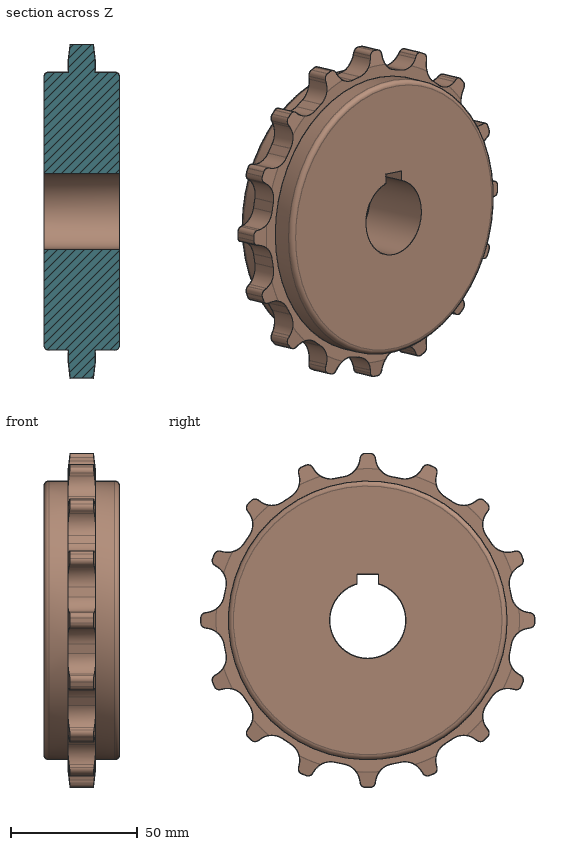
import cadquery as cq
import math

HUB_WIDTH = 30.0
HUB_DIAMETER = 110.2
HUB_EDGE_RADIUS = 2.0
BORE_DIAMETER = 30.0
KEYWAY_WIDTH = 8.5
KEYWAY_TOP = 18.2

TOOTH_COUNT = 16
TIP_RADIUS = 66.0
RIM_WIDTH = 10.7
TIP_WIDTH = 9.2
BEVEL_START_RADIUS = 60.0
TIP_CORNER_RADIUS = 2.1

ROOT_HEIGHT = 57.6
ROOT_HALF_LENGTH = 2.0
SEAT_RADIUS = 7.7
FLANK_ANGLE = 10.0
CUT_MARGIN = 2.6

TOOTH_PITCH = 360.0 / TOOTH_COUNT


def seat_point(angle):
    """Point on the right-hand seat, at an angle in degrees from the seat's lowest point."""
    turn = math.radians(angle)
    return (
        ROOT_HALF_LENGTH + SEAT_RADIUS * math.sin(turn),
        ROOT_HEIGHT + SEAT_RADIUS * (1 - math.cos(turn)),
    )


def mirrored(point):
    return (-point[0], point[1])


def make_hub():
    hub = cq.Workplane("YZ").circle(HUB_DIAMETER / 2).extrude(HUB_WIDTH / 2, both=True)
    return hub.edges().fillet(HUB_EDGE_RADIUS)


def make_gap():
    """Cutter for the gap centred on +Z."""
    flank_slope = 90 - FLANK_ANGLE - TOOTH_PITCH / 2
    seat_middle = seat_point(flank_slope / 2)
    seat_end = seat_point(flank_slope)
    outer_height = TIP_RADIUS + CUT_MARGIN
    flank_run = (outer_height - seat_end[1]) / math.tan(math.radians(flank_slope))
    flank_end = (seat_end[0] + flank_run, outer_height)
    return (
        cq.Workplane("YZ")
        .moveTo(-ROOT_HALF_LENGTH, ROOT_HEIGHT)
        .lineTo(ROOT_HALF_LENGTH, ROOT_HEIGHT)
        .threePointArc(seat_middle, seat_end)
        .lineTo(*flank_end)
        .lineTo(*mirrored(flank_end))
        .lineTo(*mirrored(seat_end))
        .threePointArc(mirrored(seat_middle), (-ROOT_HALF_LENGTH, ROOT_HEIGHT))
        .close()
        .extrude(RIM_WIDTH, both=True)
    )


def make_bevelled_disc():
    """Disc as thick as the rim, thinning towards the tooth tips on both sides."""
    half_rim = RIM_WIDTH / 2
    half_tip = TIP_WIDTH / 2
    half_section = [
        (-half_rim, 0),
        (-half_rim, BEVEL_START_RADIUS),
        (-half_tip, TIP_RADIUS),
        (half_tip, TIP_RADIUS),
        (half_rim, BEVEL_START_RADIUS),
        (half_rim, 0),
    ]
    return cq.Workplane("XY").polyline(half_section).close().revolve(360, (0, 0, 0), (1, 0, 0))


def make_toothed_rim():
    rim = cq.Workplane("YZ").circle(TIP_RADIUS).extrude(RIM_WIDTH / 2, both=True)
    gap = make_gap()
    for index in range(TOOTH_COUNT):
        angle = (index + 0.5) * TOOTH_PITCH
        rim = rim.cut(gap.rotate((0, 0, 0), (1, 0, 0), angle))

    corner_zone = TIP_RADIUS - TIP_CORNER_RADIUS / 2
    tip_edges = rim.edges("|X").filter(
        lambda edge: math.hypot(edge.Center().y, edge.Center().z) > corner_zone
    )
    rim = tip_edges.fillet(TIP_CORNER_RADIUS)
    return rim.intersect(make_bevelled_disc())


def make_bore():
    """Round bore with a keyway on its +Z side, right through the hub."""
    bore = cq.Workplane("YZ").circle(BORE_DIAMETER / 2).extrude(HUB_WIDTH, both=True)
    keyway = (
        cq.Workplane("YZ")
        .center(0, KEYWAY_TOP / 2)
        .rect(KEYWAY_WIDTH, KEYWAY_TOP)
        .extrude(HUB_WIDTH, both=True)
    )
    return bore.union(keyway)


result = make_hub().union(make_toothed_rim()).cut(make_bore())